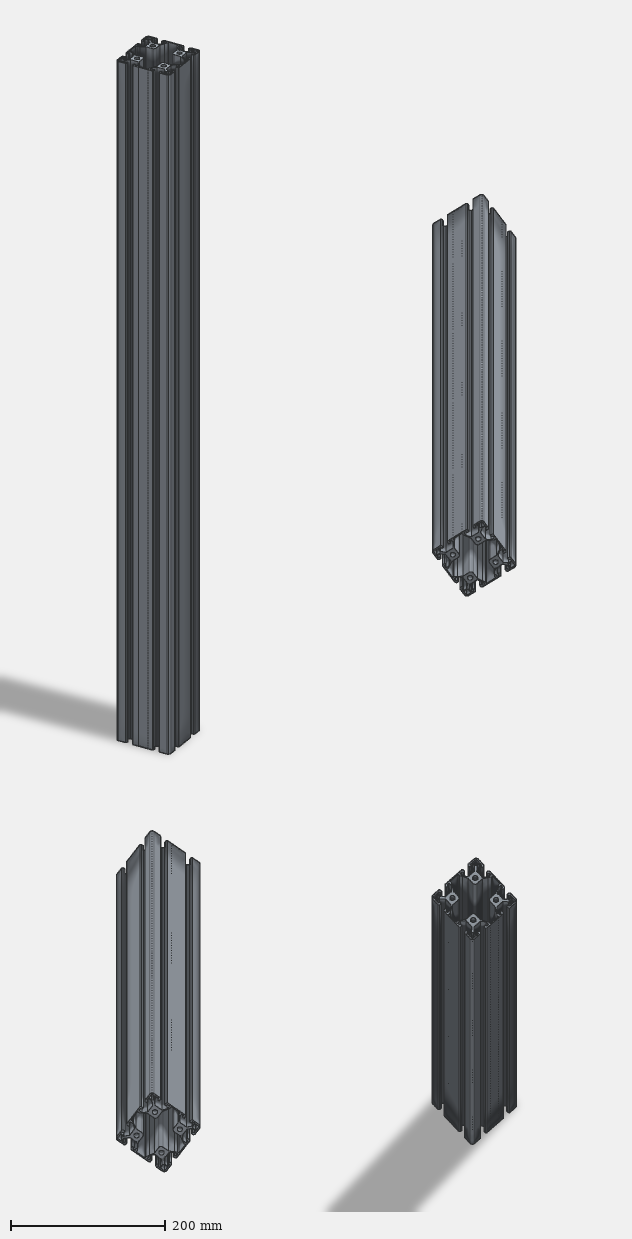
import cadquery as cq
import math

length = 1000.0
side = 80.0
half_side = side / 2
corner_radius = 4.0

slot_offset = 20.0
mouth_half_width = 4.2
mouth_chamfer = 1.3
nose_depth = 4.4
nose_width = 2.5
nose_step_width = 0.7
lip_thickness = 2.1
recess_width = 2.9
slot_half_width = mouth_half_width + nose_width + nose_step_width + recess_width
taper_depth = 7.0
floor_half_width = 5.5

core_outer_half = 7.6
core_inner_half = 7.2
core_radius = 3.8
bore_diameter = 6.6
slot_depth = half_side - slot_offset - core_outer_half

side_wall = 1.5
arm_tip_half_width = 7.0
arm_shoulder_depth = 3.6
core_flank_length = 6.1

corner_wall = 2.1
corner_hollow_side = 6.7
corner_hollow_chamfer = 1.4

quarters = range(4)


def turn(point, quarter):
    """Turn a point about the profile centre by a number of right angles."""
    x, y = point
    for _ in range(quarter):
        x, y = -y, x
    return x, y


def arc_middle(radius):
    """Distance from a square corner, along each side, to the middle of its rounding arc."""
    return radius * (1 - math.sqrt(0.5))


def slot_points(centre):
    """T-slot outline on the +Y side, from its right mouth edge to its left one."""
    half_slot = [
        (mouth_half_width + mouth_chamfer, 0),
        (mouth_half_width, mouth_chamfer),
        (mouth_half_width, nose_depth),
        (mouth_half_width + nose_width, nose_depth),
        (mouth_half_width + nose_width + nose_step_width, lip_thickness),
        (slot_half_width, lip_thickness),
        (slot_half_width, taper_depth),
        (floor_half_width, slot_depth),
    ]
    right = [(centre + across, half_side - depth) for across, depth in half_slot]
    left = [(centre - across, half_side - depth) for across, depth in reversed(half_slot)]
    return right + left


def add_outer_outline(sketch):
    """Rounded square with two T-slots on every side."""
    tangent = half_side - corner_radius
    middle = half_side - arc_middle(corner_radius)
    sketch = sketch.moveTo(tangent, half_side)
    for quarter in quarters:
        for point in slot_points(slot_offset) + slot_points(-slot_offset):
            sketch = sketch.lineTo(*turn(point, quarter))
        sketch = sketch.lineTo(*turn((-tangent, half_side), quarter))
        sketch = sketch.threePointArc(
            turn((-middle, middle), quarter),
            turn((-half_side, tangent), quarter),
        )
    return sketch.close()


def add_central_hollow(sketch):
    """Four arms reaching the side walls, passing between the rounded cores."""
    flank = slot_offset - core_inner_half
    flank_start = flank + core_radius
    flank_end = slot_offset + core_flank_length
    middle = flank + arc_middle(core_radius)
    shoulder = half_side - arm_shoulder_depth
    tip = half_side - side_wall
    right = [(flank, flank_end), (arm_tip_half_width, shoulder), (arm_tip_half_width, tip)]
    left = [(-x, y) for x, y in reversed(right)]
    sketch = sketch.moveTo(flank, flank_start)
    for quarter in quarters:
        for point in right + left + [(-flank, flank_start)]:
            sketch = sketch.lineTo(*turn(point, quarter))
        sketch = sketch.threePointArc(
            turn((-middle, middle), quarter),
            turn((-flank_start, flank), quarter),
        )
    return sketch.close()


def add_corner_hollows(sketch):
    """Square hollow in every corner, its inner corner chamfered."""
    outer = half_side - corner_wall
    inner = outer - corner_hollow_side
    cut = inner + corner_hollow_chamfer
    outline = [(outer, outer), (outer, inner), (cut, inner), (inner, cut), (inner, outer)]
    for quarter in quarters:
        sketch = sketch.polyline([turn(point, quarter) for point in outline]).close()
    return sketch


def add_core_bores(sketch):
    """Round bore through every core."""
    centres = [turn((slot_offset, slot_offset), quarter) for quarter in quarters]
    return sketch.pushPoints(centres).circle(bore_diameter / 2)


profile = add_outer_outline(cq.Workplane("XY"))
profile = add_central_hollow(profile)
profile = add_corner_hollows(profile)
profile = add_core_bores(profile)
result = profile.extrude(length)